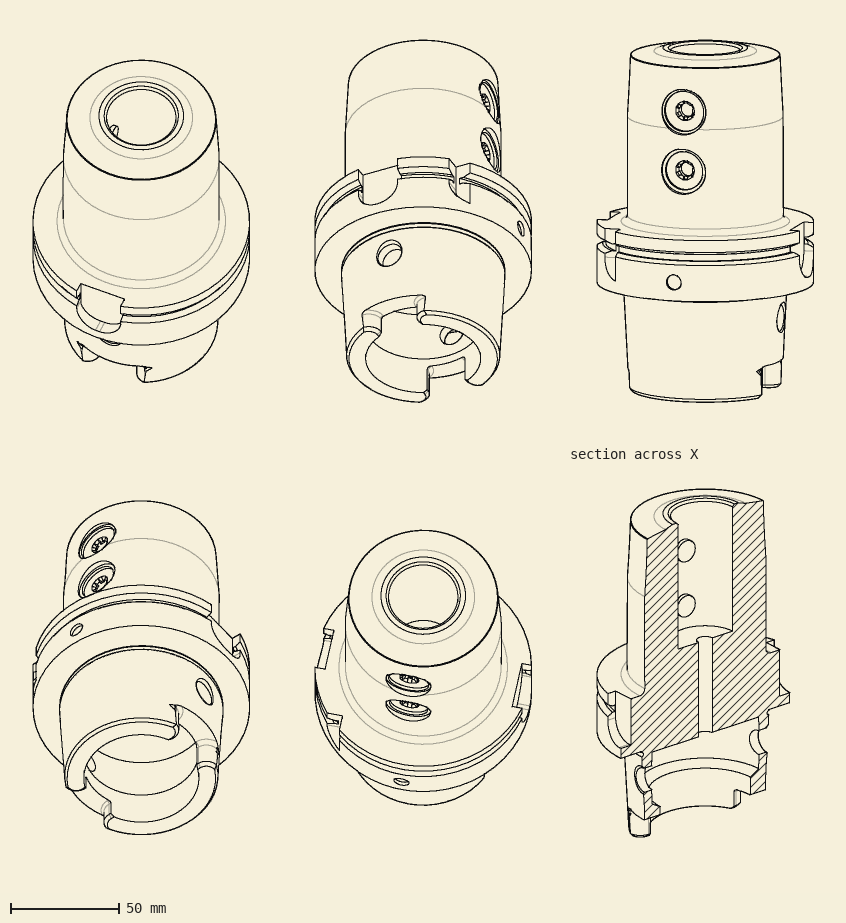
import cadquery as cq
import math

TOTAL_HEIGHT = 159.9

FLANGE_R = 49.97
FLANGE_BOTTOM = 50.0
FLANGE_TOP = 78.7
GROOVE_MID = 70.0
GROOVE_FLOOR_R = 45.9
GROOVE_SHOULDER_R = 47.3
GROOVE_HALF_MOUTH = 3.0
GROOVE_HALF_FLOOR = 1.6

TAPER_MOUTH_R = 35.3
TAPER_TOP = 47.5
TAPER_TOP_R = 37.7
RELIEF_TOP = 49.5
RELIEF_DEPTH = 1.0
MOUTH_CHAMFER = 1.6
RIM_INSET = 1.1

CAVITY_MOUTH_R = 26.5
CAVITY_R = 31.5
CLAMP_SHOULDER_Z = 19.2
CLAMP_SHOULDER_ANGLE = 30.0
CAVITY_TOP = 48.0

BODY_R = 36.0
BODY_FILLET = 2.9
BODY_TOP = 128.0
NOSE_EDGE_R = 34.5
NOSE_EDGE_Z = 156.9
NOSE_EDGE_CHAMFER = 0.3
RING_OUTER_R = 23.7
RING_OUTER_Z = 158.5
RING_INNER_R = 19.5

TOOL_BORE_R = 16.0
TOOL_BORE_CHAMFER = 1.1
TOOL_BORE_FLOOR = 96.0
COOLANT_R = 4.0

KEY_ROUND_R = 10.0
KEY_FLOOR_Y = 44.1
KEY_ARC_Z = 65.2
FRONT_KEY_HALF_WIDTH = 11.0
NOTCH_WALL = 31.5

SLOT_HALF_WIDTH = 9.6
SLOT_FLANK_Y = 31.8
SLOT_EDGE_R = 6.0
BACK_SLOT_TOP = 10.0
BACK_SLOT_FILLET = 1.3
FRONT_SLOT_TOP = 15.0
FRONT_SLOT_FILLET = 1.9
UNDERCUT_DEPTH = 1.3
UNDERCUT_HEIGHT = 2.4

CROSS_HOLE_Z = 35.2
CROSS_HOLE_R = 6.0
CROSS_HOLE_RIM_R = 7.0
CROSS_HOLE_RIM_Y = TAPER_MOUTH_R + (TAPER_TOP_R - TAPER_MOUTH_R) * CROSS_HOLE_Z / TAPER_TOP

DIMPLE_Z = 58.7
DIMPLE_R = 3.5
DIMPLE_DEPTH = 1.6
DRILL_HALF_ANGLE = 59.0

SCREWS = [(135.9, 9.5), (108.1, 9.0)]
SCREW_HOLE_R = 10.5
SCREW_STEP_X = 33.4
SCREW_FACE_X = 32.0
SCREW_TIP_X = 13.9
SCREW_TIP_R = 5.3
SCREW_TIP_OVERLAP = 0.8
SOCKET_CORE_R = 3.28
SOCKET_RIM_R = 4.5
SOCKET_LOBE_WIDTH = 1.9
SOCKET_LOBES = 6
SOCKET_DEPTH = 4.8

CLEAR = 8.0


def box(x0, x1, y0, y1, z0, z1):
    """Axis-aligned box between two corners."""
    return cq.Workplane("XY").box(x1 - x0, y1 - y0, z1 - z0, centered=False).translate((x0, y0, z0))


def x_cylinder(radius, x0, x1, z):
    """Cylinder along X, crossing the Z axis at height z."""
    return cq.Workplane("YZ", origin=(x0, 0, z)).circle(radius).extrude(x1 - x0)


def x_cone(r0, r1, x0, x1, z):
    """Cone along X from radius r0 at x0 to radius r1 at x1."""
    return cq.Workplane(cq.Solid.makeCone(r0, r1, x1 - x0, cq.Vector(x0, 0, z), cq.Vector(1, 0, 0)))


def turned_body():
    """Solid of revolution carrying the taper, the grooved flange and the nose."""
    fillet_r = BODY_R + BODY_FILLET
    relief_mid = (TAPER_TOP + RELIEF_TOP) / 2
    arc_inset = BODY_FILLET * (1 - math.sqrt(0.5))
    profile = (
        cq.Workplane("XZ")
        .moveTo(0, 0)
        .lineTo(TAPER_MOUTH_R - RIM_INSET, 0)
        .lineTo(TAPER_MOUTH_R, MOUTH_CHAMFER)
        .lineTo(TAPER_TOP_R, TAPER_TOP)
        .threePointArc((TAPER_TOP_R - RELIEF_DEPTH, relief_mid), (TAPER_TOP_R, RELIEF_TOP))
        .lineTo(TAPER_TOP_R, FLANGE_BOTTOM)
        .lineTo(FLANGE_R, FLANGE_BOTTOM)
        .lineTo(FLANGE_R, GROOVE_MID - GROOVE_HALF_MOUTH)
        .lineTo(GROOVE_SHOULDER_R, GROOVE_MID - GROOVE_HALF_FLOOR)
        .lineTo(GROOVE_FLOOR_R, GROOVE_MID - GROOVE_HALF_FLOOR)
        .lineTo(GROOVE_FLOOR_R, GROOVE_MID + GROOVE_HALF_FLOOR)
        .lineTo(GROOVE_SHOULDER_R, GROOVE_MID + GROOVE_HALF_FLOOR)
        .lineTo(FLANGE_R, GROOVE_MID + GROOVE_HALF_MOUTH)
        .lineTo(FLANGE_R, FLANGE_TOP)
        .lineTo(fillet_r, FLANGE_TOP)
        .threePointArc((BODY_R + arc_inset, FLANGE_TOP + arc_inset), (BODY_R, FLANGE_TOP + BODY_FILLET))
        .lineTo(BODY_R, BODY_TOP)
        .lineTo(NOSE_EDGE_R, NOSE_EDGE_Z - NOSE_EDGE_CHAMFER)
        .lineTo(NOSE_EDGE_R - NOSE_EDGE_CHAMFER, NOSE_EDGE_Z)
        .lineTo(RING_OUTER_R, RING_OUTER_Z)
        .lineTo(RING_INNER_R, TOTAL_HEIGHT)
        .lineTo(0, TOTAL_HEIGHT)
        .close()
    )
    return profile.revolve(360, (0, 0, 0), (0, 1, 0))


def bores():
    """Tool bore from above, hollow cavity from below, coolant hole between them."""
    shoulder_rise = (CAVITY_R - CAVITY_MOUTH_R) * math.tan(math.radians(CLAMP_SHOULDER_ANGLE))
    profile = (
        cq.Workplane("XZ")
        .moveTo(0, 0)
        .lineTo(CAVITY_MOUTH_R, 0)
        .lineTo(CAVITY_MOUTH_R, CLAMP_SHOULDER_Z)
        .lineTo(CAVITY_R, CLAMP_SHOULDER_Z + shoulder_rise)
        .lineTo(CAVITY_R, CAVITY_TOP)
        .lineTo(COOLANT_R, CAVITY_TOP)
        .lineTo(COOLANT_R, TOOL_BORE_FLOOR)
        .lineTo(TOOL_BORE_R, TOOL_BORE_FLOOR)
        .lineTo(TOOL_BORE_R, TOTAL_HEIGHT - TOOL_BORE_CHAMFER)
        .lineTo(TOOL_BORE_R + TOOL_BORE_CHAMFER, TOTAL_HEIGHT)
        .lineTo(0, TOTAL_HEIGHT)
        .close()
    )
    return profile.revolve(360, (0, 0, 0), (0, 1, 0))


def keyway(center_x, half_width, y0, y1):
    """Slot open at the flange top, with rounded lower corners, running from y0 to y1."""
    cutter = box(center_x - half_width, center_x + half_width, y0, y1, KEY_ARC_Z, FLANGE_TOP + CLEAR)
    half_flat = half_width - KEY_ROUND_R
    if half_flat > 0:
        bottom = KEY_ARC_Z - KEY_ROUND_R
        cutter = cutter.union(box(center_x - half_flat, center_x + half_flat, y0, y1, bottom, KEY_ARC_Z))
    for x in (center_x - half_flat, center_x + half_flat):
        corner = cq.Workplane("XZ", origin=(x, y1, KEY_ARC_Z)).circle(KEY_ROUND_R).extrude(y1 - y0)
        cutter = cutter.union(corner)
    return cutter


def slot_outline(side):
    """Plan of a drive slot at the top of the mouth chamfer; side is the sign of Y.

    The slot walls round out into flat flanks that run sideways past the taper.
    """
    reach_x = TAPER_TOP_R + CLEAR
    reach_y = side * (TAPER_TOP_R + CLEAR)
    flank_y = side * SLOT_FLANK_Y
    flank_x = SLOT_HALF_WIDTH + SLOT_EDGE_R
    wall_y = flank_y - side * SLOT_EDGE_R
    arc_reach = SLOT_EDGE_R * math.sqrt(0.5)
    arc_x = flank_x - arc_reach
    arc_y = wall_y + side * arc_reach
    return (
        cq.Workplane("XY", origin=(0, 0, MOUTH_CHAMFER))
        .moveTo(-SLOT_HALF_WIDTH, 0)
        .lineTo(SLOT_HALF_WIDTH, 0)
        .lineTo(SLOT_HALF_WIDTH, wall_y)
        .threePointArc((arc_x, arc_y), (flank_x, flank_y))
        .lineTo(reach_x, flank_y)
        .lineTo(reach_x, reach_y)
        .lineTo(-reach_x, reach_y)
        .lineTo(-reach_x, flank_y)
        .lineTo(-flank_x, flank_y)
        .threePointArc((-arc_x, arc_y), (-SLOT_HALF_WIDTH, wall_y))
        .close()
    )


def drive_slot(side, top, fillet):
    """Slot through the taper wall with a filleted roof and a chamfered mouth."""
    passage = slot_outline(side).extrude(top - MOUTH_CHAMFER).faces(">Z").edges().fillet(fillet)
    flared_mouth = slot_outline(side).extrude(-MOUTH_CHAMFER, taper=-45)
    return passage.union(flared_mouth)


def flank_undercut():
    """Wedge-shaped relief under the roof fillet of the front slot, along both flanks."""
    roof_z = FRONT_SLOT_TOP - FRONT_SLOT_FILLET
    profile = [
        (-SLOT_FLANK_Y, roof_z - UNDERCUT_HEIGHT),
        (-SLOT_FLANK_Y + UNDERCUT_DEPTH, roof_z),
        (-SLOT_FLANK_Y, roof_z + FRONT_SLOT_FILLET / 2),
    ]
    start_x = SLOT_HALF_WIDTH + SLOT_EDGE_R
    wedge = cq.Workplane("YZ", origin=(start_x, 0, 0)).polyline(profile).close().extrude(CLEAR)
    return wedge.union(wedge.mirror("YZ"))


def cross_hole():
    """Hole along Y through both walls of the taper, countersunk at 45 degrees at each end."""
    sink_start = CROSS_HOLE_RIM_Y - (CROSS_HOLE_RIM_R - CROSS_HOLE_R)
    sink_end = sink_start + CLEAR
    sink_end_r = CROSS_HOLE_R + CLEAR
    profile = (
        cq.Workplane("XY", origin=(0, 0, CROSS_HOLE_Z))
        .moveTo(0, -sink_end)
        .lineTo(sink_end_r, -sink_end)
        .lineTo(CROSS_HOLE_R, -sink_start)
        .lineTo(CROSS_HOLE_R, sink_start)
        .lineTo(sink_end_r, sink_end)
        .lineTo(0, sink_end)
        .close()
    )
    return profile.revolve(360, (0, 0, 0), (0, 1, 0))


def dimple():
    """Short drilled hole with a conical floor on the -X side of the flange."""
    mouth_x = -FLANGE_R
    bottom_x = mouth_x + DIMPLE_DEPTH
    tip_length = DIMPLE_R / math.tan(math.radians(DRILL_HALF_ANGLE))
    hole = x_cylinder(DIMPLE_R, mouth_x - CLEAR, bottom_x, DIMPLE_Z)
    return hole.union(x_cone(DIMPLE_R, 0, bottom_x, bottom_x + tip_length, DIMPLE_Z))


def screw_recess(z, seat_r):
    """Stepped hole down to the screw face."""
    hole = x_cylinder(SCREW_HOLE_R, -FLANGE_R, -SCREW_STEP_X, z)
    return hole.union(x_cylinder(seat_r, -SCREW_STEP_X, -SCREW_FACE_X, z))


def screw_socket(z):
    """Six-lobed socket with a conical rim and a drill point at its floor."""
    rim_depth = SOCKET_RIM_R - SOCKET_CORE_R
    face_x = -SCREW_FACE_X
    floor_x = face_x + SOCKET_DEPTH
    tip_length = SOCKET_CORE_R / math.tan(math.radians(DRILL_HALF_ANGLE))
    socket = x_cylinder(SOCKET_CORE_R, face_x, floor_x, z)
    socket = socket.union(x_cone(SOCKET_CORE_R, 0, floor_x, floor_x + tip_length, z))
    socket = socket.union(x_cone(SOCKET_RIM_R, SOCKET_CORE_R, face_x, face_x + rim_depth, z))
    half_lobe = SOCKET_LOBE_WIDTH / 2
    for i in range(SOCKET_LOBES):
        lobe = box(face_x, face_x + 2 * rim_depth, -half_lobe, half_lobe, z, z + SOCKET_RIM_R)
        socket = socket.union(lobe.rotate((0, 0, z), (1, 0, z), i * 360 / SOCKET_LOBES))
    return socket


result = turned_body().cut(bores())
result = result.cut(drive_slot(1, BACK_SLOT_TOP, BACK_SLOT_FILLET))
result = result.cut(drive_slot(-1, FRONT_SLOT_TOP, FRONT_SLOT_FILLET))
result = result.cut(flank_undercut())
result = result.cut(cross_hole())

outside = FLANGE_R + CLEAR
result = result.cut(keyway(0, FRONT_KEY_HALF_WIDTH, -outside, -KEY_FLOOR_Y))
result = result.cut(keyway(0, KEY_ROUND_R, KEY_FLOOR_Y, outside))
result = result.cut(keyway(-NOTCH_WALL - KEY_ROUND_R, KEY_ROUND_R, NOTCH_WALL, outside))

result = result.cut(dimple())
tip_start = -TOOL_BORE_R - SCREW_TIP_OVERLAP
for height, seat_radius in SCREWS:
    result = result.cut(screw_recess(height, seat_radius))
    result = result.cut(screw_socket(height))
    result = result.union(x_cylinder(SCREW_TIP_R, tip_start, -SCREW_TIP_X, height))